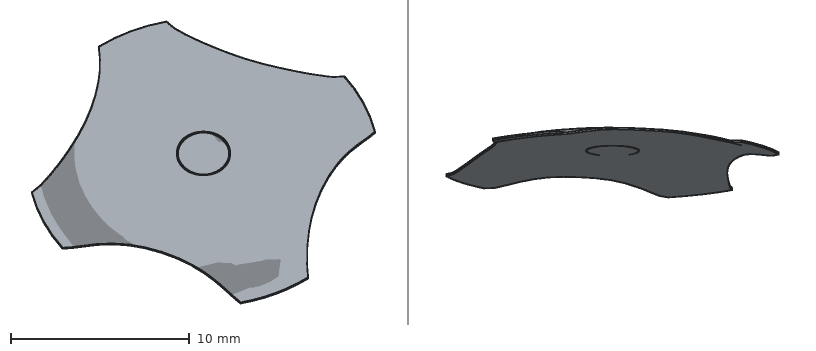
import cadquery as cq
import math

outer_radius = 9.83
thickness = 0.112

dimple_floor_radius = 0.98
dimple_floor_height = 0.83
lip_radius = 1.67
lip_height = 0.98
knee_radius = 7.2
knee_height = 0.77
rim_inner_radius = 9.28

dimple_setback = 0.5
lip_setback = 0.24
knee_setback = 0.5
rim_setback = 0.15

arm_half_width = 2.08
scallop_radius = 11.84
cutter_height = 2 * lip_height


def step_towards(start, target, distance):
    """Point at the given distance from start on the line to target."""
    fraction = distance / math.dist(start, target)
    return tuple(a + fraction * (b - a) for a, b in zip(start, target))


def rounding_arc(before, corner, after, setback):
    """Start, middle and end of the arc tangent to both lines at a corner."""
    start = step_towards(corner, before, setback)
    end = step_towards(corner, after, setback)
    chord_middle = tuple((a + b) / 2 for a, b in zip(start, end))
    half_chord = math.dist(start, end) / 2
    corner_gap = math.dist(corner, chord_middle)
    rise = half_chord * (setback - half_chord) / corner_gap
    middle = step_towards(chord_middle, corner, rise)
    return start, middle, end


def shell_profile():
    """Half section of the shell, with smooth curves through the corner roundings.

    The underside is the top moved down by the thickness.
    """
    corners = [
        (0, dimple_floor_height),
        (dimple_floor_radius, dimple_floor_height),
        (lip_radius, lip_height),
        (knee_radius, knee_height),
        (rim_inner_radius, thickness),
        (outer_radius, thickness),
    ]
    setbacks = [dimple_setback, lip_setback, knee_setback, rim_setback]
    arcs = [
        rounding_arc(before, corner, after, setback)
        for before, corner, after, setback in zip(corners, corners[1:], corners[2:], setbacks)
    ]

    dimple_arc, lip_arc, knee_arc, rim_arc = arcs
    dimple = [corners[0], *dimple_arc, *lip_arc]
    outer_shell = [lip_arc[-1], *knee_arc, *rim_arc, corners[-1]]
    level = (1, 0)
    cone_slope = (knee_radius - lip_radius, knee_height - lip_height)

    def lowered(points):
        return [(radius, z - thickness) for radius, z in points]

    def reverse(vector):
        return (-vector[0], -vector[1])

    dimple_back = lowered(reversed(dimple))
    outer_back = lowered(reversed(outer_shell))
    back_level = reverse(level)
    back_slope = reverse(cone_slope)
    return (
        cq.Workplane("XZ")
        .moveTo(*dimple[0])
        .spline(dimple[1:], tangents=[level, cone_slope], includeCurrent=True)
        .spline(outer_shell[1:], tangents=[cone_slope, level], includeCurrent=True)
        .lineTo(*outer_back[0])
        .spline(outer_back[1:], tangents=[back_level, back_slope], includeCurrent=True)
        .spline(dimple_back[1:], tangents=[back_slope, back_level], includeCurrent=True)
        .close()
    )


def scallop_cutters():
    """Four upright cylinders on the diagonals, passing through the arm corners."""
    corner_angle = math.pi / 4 - math.asin(arm_half_width / outer_radius)
    along = outer_radius * math.cos(corner_angle)
    across = outer_radius * math.sin(corner_angle)
    center_distance = along + math.sqrt(scallop_radius**2 - across**2)
    return (
        cq.Workplane("XY")
        .polarArray(center_distance, 45, 360, 4)
        .circle(scallop_radius)
        .extrude(cutter_height, both=True)
    )


shell = shell_profile().revolve(360, (0, 0, 0), (0, 1, 0))
result = shell.cut(scallop_cutters())